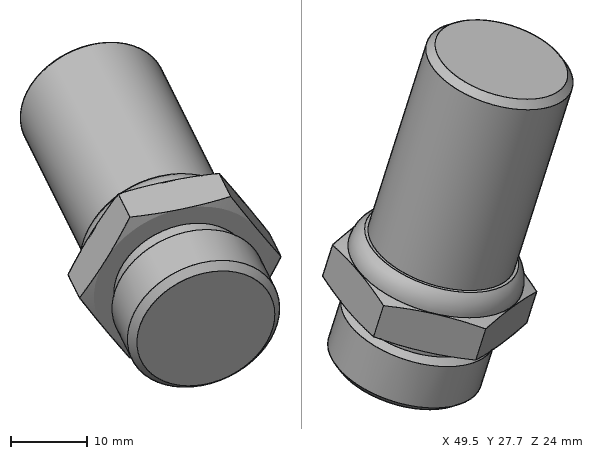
import cadquery as cq
import math

total_length = 49.5
collar_start = 30.0
hex_start = 33.0
hex_end = 39.0
neck_end = 41.2
head_start = 41.9

tube_radius = 20.0 / 2
neck_radius = 18.6 / 2
head_radius = 20.95 / 2
collar_small_radius = 10.45

across_flats = 24.0
collar_large_radius = across_flats / 2 - 0.1
end_chamfer = 1.0
hex_chamfer_angle = 15.0


def revolve_about_x(profile):
    """Turn a closed profile, drawn as (x, radius), around the X axis."""
    return profile.close().revolve(360, (0, 0, 0), (1, 0, 0))


def make_tube():
    """Plain cylindrical stem with a chamfered free end."""
    stem = cq.Workplane("YZ").circle(tube_radius).extrude(hex_start)
    return stem.faces("<X").edges().chamfer(end_chamfer)


def make_collar():
    """Rounded shoulder whose arc runs parallel to the axis at the hexagon."""
    length = hex_start - collar_start
    rise = collar_large_radius - collar_small_radius
    arc_radius = (length**2 + rise**2) / (2 * rise)
    half_angle = math.asin(length / arc_radius) / 2
    arc_middle = (
        hex_start - arc_radius * math.sin(half_angle),
        collar_large_radius - arc_radius * (1 - math.cos(half_angle)),
    )
    profile = (
        cq.Workplane("XY")
        .moveTo(collar_start, 0)
        .lineTo(collar_start, collar_small_radius)
        .threePointArc(arc_middle, (hex_start, collar_large_radius))
        .lineTo(hex_start, 0)
    )
    return revolve_about_x(profile)


def make_hexagon():
    """Hexagon with corners on Y, its corners bevelled conically on both sides."""
    corner_radius = across_flats / math.sqrt(3)
    flat_radius = across_flats / 2
    bevel = (corner_radius - flat_radius) * math.tan(math.radians(hex_chamfer_angle))
    prism = (
        cq.Workplane("YZ", origin=(hex_start, 0, 0))
        .polygon(6, 2 * corner_radius)
        .extrude(hex_end - hex_start)
    )
    bevel_envelope = revolve_about_x(
        cq.Workplane("XY").polyline([
            (hex_start, 0),
            (hex_start, flat_radius),
            (hex_start + bevel, corner_radius),
            (hex_end - bevel, corner_radius),
            (hex_end, flat_radius),
            (hex_end, 0),
        ])
    )
    return prism.intersect(bevel_envelope)


def make_head():
    """Relief neck, sloped shoulder and chamfered cylindrical end."""
    return revolve_about_x(
        cq.Workplane("XY").polyline([
            (hex_end, 0),
            (hex_end, neck_radius),
            (neck_end, neck_radius),
            (head_start, head_radius),
            (total_length - end_chamfer, head_radius),
            (total_length, head_radius - end_chamfer),
            (total_length, 0),
        ])
    )


result = make_tube().union(make_collar()).union(make_hexagon()).union(make_head())